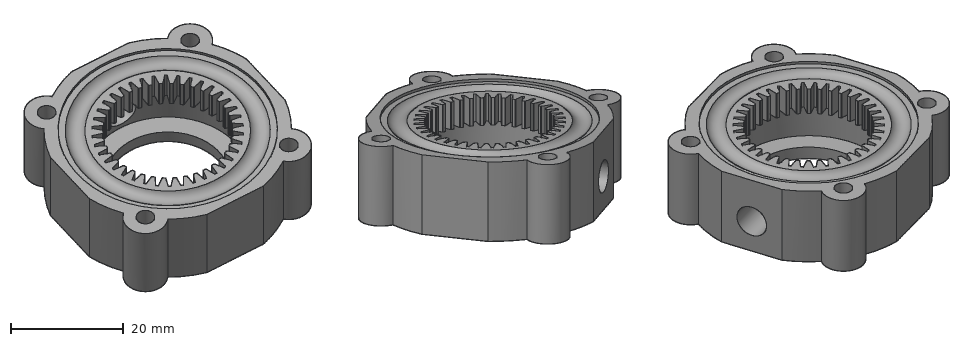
import cadquery as cq
import math

height = 15.1
width_across_flats = 42.2
body_diameter = 43.95

ear_offset = 15.45
ear_radius = 4.0
ear_hole_diameter = 3.3

recess_diameter = 38.9
recess_depth = 0.5
groove_inner_diameter = 29.37
groove_width = 3.5
groove_depth = 1.0

tooth_count = 38
gear_root_radius = 13.45
gear_tip_radius = 11.48
gear_thickness = 5.25
root_gap_width = 0.45
tip_gap_width = 1.2
tip_chamfer_width = 0.1
tip_chamfer_height = 0.13

chamber_diameter = 29.3
floor_thickness = 2.5
bore_diameter = 22.0
port_diameter = 6.0
port_height = 6.37

recess_floor = height - recess_depth
gear_bottom = recess_floor - gear_thickness


def cylinder(diameter, bottom, top):
    """Vertical cylinder on the part axis."""
    return cq.Workplane("XY").workplane(offset=bottom).circle(diameter / 2).extrude(top - bottom)


def make_body():
    """Round body cut to four flats, joined to four drilled corner ears."""
    square = cq.Workplane("XY").rect(width_across_flats, width_across_flats).extrude(height)
    body = cylinder(body_diameter, 0, height).intersect(square)
    corners = [(x, y) for x in (-ear_offset, ear_offset) for y in (-ear_offset, ear_offset)]
    ears = cq.Workplane("XY").pushPoints(corners).circle(ear_radius).extrude(height)
    holes = cq.Workplane("XY").pushPoints(corners).circle(ear_hole_diameter / 2).extrude(height)
    return body.union(ears).cut(holes)


def make_ring_groove():
    """Ring with a circular-arc bottom that cuts the groove."""
    inner_radius = groove_inner_diameter / 2
    return (
        cq.Workplane("XZ")
        .moveTo(inner_radius, recess_floor)
        .threePointArc(
            (inner_radius + groove_width / 2, recess_floor - groove_depth),
            (inner_radius + groove_width, recess_floor),
        )
        .close()
        .revolve(360, (0, 0), (0, 1))
    )


def make_gear_opening():
    """Opening of the internal gear: tapered gaps between teeth with chamfered tips."""

    def point(radius, half_width, gap_angle):
        """Point at this radius, offset sideways from the centre line of a gap."""
        angle = gap_angle + math.asin(half_width / radius)
        return (radius * math.cos(angle), radius * math.sin(angle))

    pitch_angle = 2 * math.pi / tooth_count
    half_root = root_gap_width / 2
    half_tip = tip_gap_width / 2
    half_mouth = half_tip + tip_chamfer_width
    flank_end_radius = gear_tip_radius + tip_chamfer_height

    first_angle = math.pi / 2
    outline = cq.Workplane("XY").workplane(offset=gear_bottom)
    outline = outline.moveTo(*point(gear_tip_radius, -half_mouth, first_angle))
    for index in range(tooth_count):
        angle = first_angle + index * pitch_angle
        next_angle = angle + pitch_angle
        outline = (
            outline.lineTo(*point(flank_end_radius, -half_tip, angle))
            .lineTo(*point(gear_root_radius, -half_root, angle))
            .threePointArc(
                point(gear_root_radius, 0, angle),
                point(gear_root_radius, half_root, angle),
            )
            .lineTo(*point(flank_end_radius, half_tip, angle))
            .lineTo(*point(gear_tip_radius, half_mouth, angle))
            .threePointArc(
                point(gear_tip_radius, 0, angle + pitch_angle / 2),
                point(gear_tip_radius, -half_mouth, next_angle),
            )
        )
    return outline.close().extrude(gear_thickness)


def make_side_port():
    """Round port through the -X wall into the chamber."""
    return (
        cq.Workplane("YZ")
        .center(0, port_height)
        .circle(port_diameter / 2)
        .extrude(-width_across_flats / 2)
    )


result = (
    make_body()
    .cut(cylinder(recess_diameter, recess_floor, height))
    .cut(make_ring_groove())
    .cut(make_gear_opening())
    .cut(cylinder(chamber_diameter, floor_thickness, gear_bottom))
    .cut(cylinder(bore_diameter, 0, floor_thickness))
    .cut(make_side_port())
)